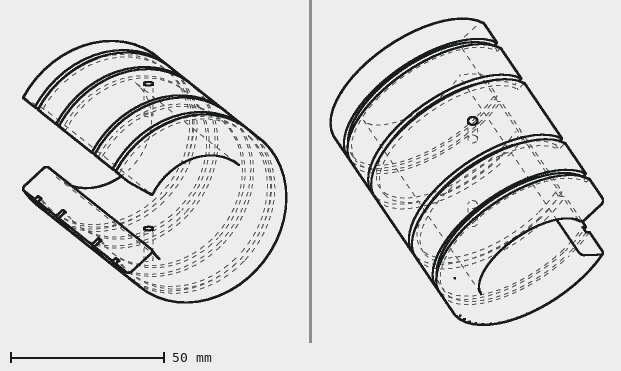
import cadquery as cq
import math

length = 80.0
outer_diameter = 62.0
bore_diameter = 40.0
end_fillet = 1.5

outer_groove_offset = 29.0
outer_groove_width = 2.3
outer_groove_depth = 1.5
inner_groove_offset = 13.3
inner_groove_width = 2.0
inner_groove_depth = 3.0

opening_angle = 72.0
opening_apex_offset = 4.2

cross_hole_diameter = 3.0

outer_radius = outer_diameter / 2
cut_clearance = 0.8


def tube(outer, inner, width, center_x):
    """Ring of the given diameters and width, centred at center_x on the X axis."""
    return (
        cq.Workplane("YZ", origin=(center_x - width / 2, 0, 0))
        .circle(outer / 2)
        .circle(inner / 2)
        .extrude(width)
    )


def ring_groove(center_x, width, depth):
    """Cutter for a square groove around the outside of the sleeve."""
    return tube(outer_diameter + 2 * cut_clearance, outer_diameter - 2 * depth, width, center_x)


def opening_wedge():
    """Cutter for the lengthwise opening, widening from its apex toward -Y."""
    wedge_end = outer_radius + cut_clearance
    half_width = (wedge_end - opening_apex_offset) * math.tan(math.radians(opening_angle / 2))
    return (
        cq.Workplane("YZ")
        .moveTo(-opening_apex_offset, 0)
        .lineTo(-wedge_end, half_width)
        .lineTo(-wedge_end, -half_width)
        .close()
        .extrude(length / 2 + cut_clearance, both=True)
    )


sleeve = tube(outer_diameter, bore_diameter, length, 0)
sleeve = sleeve.faces("<X or >X").edges().fillet(end_fillet)

for side in (-1, 1):
    sleeve = sleeve.cut(ring_groove(side * outer_groove_offset, outer_groove_width, outer_groove_depth))
    sleeve = sleeve.cut(ring_groove(side * inner_groove_offset, inner_groove_width, inner_groove_depth))

sleeve = sleeve.cut(opening_wedge())
cross_hole = cq.Workplane("XY").circle(cross_hole_diameter / 2).extrude(outer_radius + cut_clearance, both=True)
result = sleeve.cut(cross_hole)